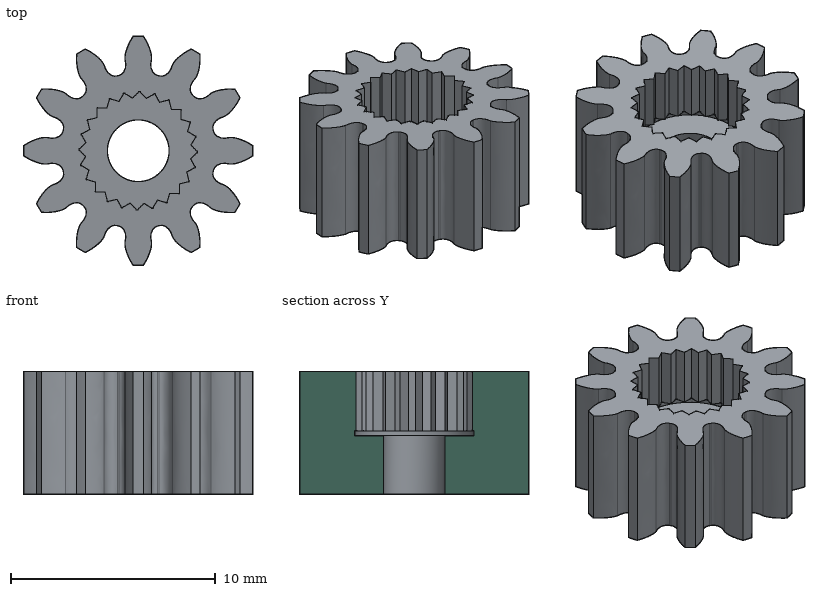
import cadquery as cq
import math

TOOTH_COUNT = 12
OUTER_DIAMETER = 11.2
FACE_WIDTH = 6.0
PRESSURE_ANGLE = math.radians(20)
MODULE = OUTER_DIAMETER / (TOOTH_COUNT + 2)
DEDENDUM = 1.25 * MODULE
OUTER_RADIUS = OUTER_DIAMETER / 2
PITCH_RADIUS = MODULE * TOOTH_COUNT / 2
BASE_RADIUS = PITCH_RADIUS * math.cos(PRESSURE_ANGLE)
ROOT_RADIUS = PITCH_RADIUS - DEDENDUM
TOOTH_PITCH = 2 * math.pi / TOOTH_COUNT
CURVE_STEPS = 8
BISECTIONS = 40

RACK_TIP_RADIUS = 0.38 * MODULE
RACK_TIP_DEPTH = DEDENDUM - RACK_TIP_RADIUS
RACK_TIP_OFFSET = (
    math.pi * MODULE / 4
    - DEDENDUM * math.tan(PRESSURE_ANGLE)
    - RACK_TIP_RADIUS * (1 - math.sin(PRESSURE_ANGLE)) / math.cos(PRESSURE_ANGLE)
)

SERRATION_COUNT = 24
SERRATION_OUTER_RADIUS = 2.9
SERRATION_TURN = -1.2
SERRATION_DEPTH = 2.91

RELIEF_HEIGHT = 0.24
BORE_DIAMETER = 3.0


def polar(radius, angle):
    """Point at the given radius and angle from the X axis."""
    return (radius * math.cos(angle), radius * math.sin(angle))


def involute_roll(radius):
    """Involute function: the angle unwound between the base circle and the radius."""
    pressure = math.acos(BASE_RADIUS / radius)
    return math.tan(pressure) - pressure


def tooth_half_angle(radius):
    """Half of the angle that a tooth takes up at the radius."""
    pitch_half_angle = TOOTH_PITCH / 4
    return pitch_half_angle + involute_roll(PITCH_RADIUS) - involute_roll(radius)


def root_fillet_point(roll):
    """Radius and angle from the tooth centre line of the root fillet left by the rack tip.

    The roll is the distance of the rounding's centre from the rolling contact, along the rack.
    """
    reach = math.hypot(roll, RACK_TIP_DEPTH)
    swell = 1 + RACK_TIP_RADIUS / reach
    x = roll * swell
    y = PITCH_RADIUS - RACK_TIP_DEPTH * swell
    angle_from_gap = math.atan2(x, y) - (roll - RACK_TIP_OFFSET) / PITCH_RADIUS
    return math.hypot(x, y), TOOTH_PITCH / 2 - angle_from_gap


def undercut_roll():
    """Roll at which the root fillet meets the involute, just outside the base circle."""
    low = 0.0
    high = PITCH_RADIUS / 2
    for _ in range(BISECTIONS):
        middle = (low + high) / 2
        radius, half_angle = root_fillet_point(middle)
        if radius < BASE_RADIUS or half_angle < tooth_half_angle(radius):
            low = middle
        else:
            high = middle
    return low


def gear_blank():
    last_roll = undercut_roll()
    fillet = [root_fillet_point(last_roll * step / CURVE_STEPS) for step in range(CURVE_STEPS + 1)]
    root_half_angle = fillet[0][1]
    join_radius = fillet[-1][0]
    involute = []
    for step in range(1, CURVE_STEPS + 1):
        radius = join_radius + (OUTER_RADIUS - join_radius) * step / CURVE_STEPS
        involute.append((radius, tooth_half_angle(radius)))

    outline = cq.Workplane("XY").moveTo(*polar(ROOT_RADIUS, -root_half_angle))
    for tooth in range(TOOTH_COUNT):
        centre = tooth * TOOTH_PITCH
        rising_fillet = [polar(r, centre - half) for r, half in fillet]
        rising_flank = [polar(r, centre - half) for r, half in involute]
        falling_flank = [polar(r, centre + half) for r, half in reversed(involute)]
        falling_fillet = [polar(r, centre + half) for r, half in reversed(fillet)]
        outline = (
            outline.spline(rising_fillet[1:], includeCurrent=True)
            .spline(rising_flank, includeCurrent=True)
            .threePointArc(polar(OUTER_RADIUS, centre), falling_flank[0])
            .spline(falling_flank[1:] + falling_fillet[:1], includeCurrent=True)
            .spline(falling_fillet[1:], includeCurrent=True)
            .threePointArc(
                polar(ROOT_RADIUS, centre + TOOTH_PITCH / 2),
                polar(ROOT_RADIUS, centre + TOOTH_PITCH - root_half_angle),
            )
        )
    return outline.close().extrude(FACE_WIDTH)


def serrated_socket():
    """Socket of V grooves whose sides meet at right angles."""
    half_step = math.pi / SERRATION_COUNT
    inner_radius = SERRATION_OUTER_RADIUS / (math.cos(half_step) + math.sin(half_step))
    turn = math.radians(SERRATION_TURN)
    points = []
    for groove in range(SERRATION_COUNT):
        angle = turn + 2 * half_step * groove
        points.append(polar(SERRATION_OUTER_RADIUS, angle))
        points.append(polar(inner_radius, angle + half_step))
    socket_floor = cq.Workplane("XY").workplane(offset=FACE_WIDTH - SERRATION_DEPTH)
    return socket_floor.polyline(points).close().extrude(SERRATION_DEPTH)


def relief():
    """Round undercut as wide as the roots of the serrations."""
    relief_floor = FACE_WIDTH - SERRATION_DEPTH - RELIEF_HEIGHT
    return (
        cq.Workplane("XY")
        .workplane(offset=relief_floor)
        .circle(SERRATION_OUTER_RADIUS)
        .extrude(RELIEF_HEIGHT)
    )


def bore():
    return cq.Workplane("XY").circle(BORE_DIAMETER / 2).extrude(FACE_WIDTH)


result = gear_blank().cut(serrated_socket()).cut(relief()).cut(bore())